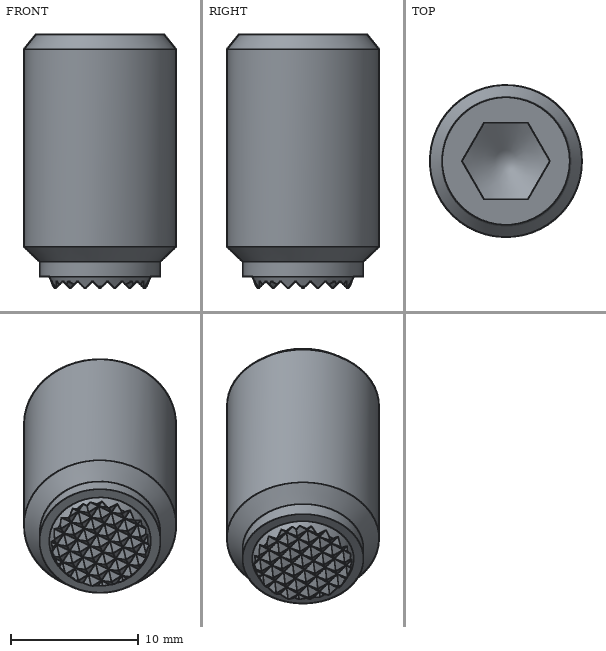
import cadquery as cq
import math

total_height = 20.0
screw_radius = 6.0
top_chamfer_height = 1.2
top_chamfer_radius = 5.1
rim_bevel = 0.08
collar_radius = 4.75
collar_height = 1.18
bottom_chamfer_height = 1.18

socket_across_flats = 6.0
socket_across_corners = socket_across_flats / math.cos(math.radians(30))
socket_depth = 8.0
socket_cone_angle = 120.0

insert_height = 0.9
insert_top_radius = 4.0
insert_bottom_radius = 3.65
teeth_across = 7
tooth_row_span = 7.02
tooth_pitch = tooth_row_span / (teeth_across - 1)
tooth_land = 0.1
groove_width = tooth_pitch - tooth_land
groove_depth = groove_width / 2


def make_screw():
    """Revolved screw body with a chamfered top, a bottom collar and a hexagon socket."""
    collar_top = insert_height + collar_height
    profile = [
        (0, insert_height),
        (collar_radius, insert_height),
        (collar_radius, collar_top),
        (screw_radius, collar_top + bottom_chamfer_height),
        (screw_radius, total_height - top_chamfer_height),
        (top_chamfer_radius, total_height - rim_bevel),
        (top_chamfer_radius - rim_bevel, total_height),
        (0, total_height),
    ]
    blank = cq.Workplane("XZ").polyline(profile).close().revolve(360, (0, 0), (0, 1))
    return blank.cut(make_socket())


def make_socket():
    """Hexagonal cavity whose floor is a drill point as wide as the hexagon corners."""
    cone_radius = socket_across_corners / 2
    cone_height = cone_radius / math.tan(math.radians(socket_cone_angle / 2))
    floor = total_height - socket_depth
    hexagon = (
        cq.Workplane("XY", origin=(0, 0, floor - cone_height))
        .polygon(6, socket_across_corners)
        .extrude(socket_depth + cone_height)
    )
    drill_point = (
        cq.Workplane("XZ")
        .polyline([
            (0, floor - cone_height),
            (cone_radius, floor),
            (cone_radius, total_height),
            (0, total_height),
        ])
        .close()
        .revolve(360, (0, 0), (0, 1))
    )
    return hexagon.intersect(drill_point)


def make_groove(offset):
    """V groove that runs along Y through the underside of the insert, centred on x = offset."""
    return (
        cq.Workplane("XZ")
        .polyline([
            (offset - groove_width / 2, 0),
            (offset, groove_depth),
            (offset + groove_width / 2, 0),
        ])
        .close()
        .extrude(insert_top_radius, both=True)
    )


def make_insert():
    """Tapered disc with two crossing sets of grooves that leave pyramid teeth."""
    insert = (
        cq.Workplane("XZ")
        .polyline([
            (0, 0),
            (insert_bottom_radius, 0),
            (insert_top_radius, insert_height),
            (0, insert_height),
        ])
        .close()
        .revolve(360, (0, 0), (0, 1))
    )
    groove_count = teeth_across + 1
    for index in range(groove_count):
        groove = make_groove((index - teeth_across / 2) * tooth_pitch)
        insert = insert.cut(groove)
        insert = insert.cut(groove.rotate((0, 0, 0), (0, 0, 1), 90))
    return insert


screw = make_screw()
serrated_insert = make_insert()

result = cq.Compound.makeCompound([screw.val(), serrated_insert.val()])